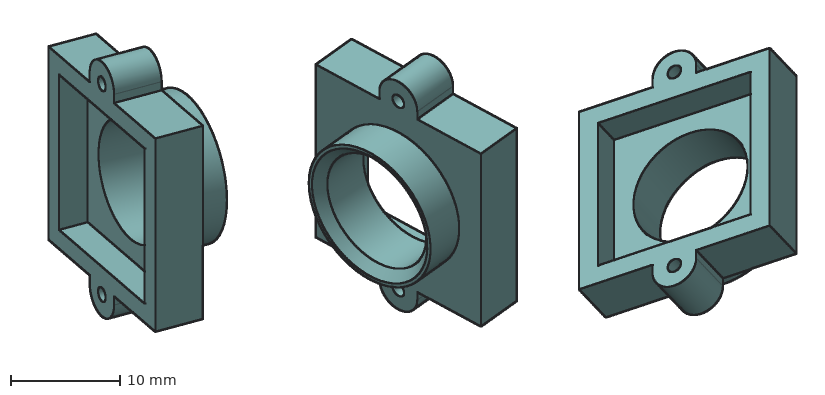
import cadquery as cq

frame_width = 20.06
frame_height = 20.2
frame_depth = 5.0
wall = 2.0
pocket_depth = 3.0

collar_diameter = 14.8
collar_length = 4.0
bore_diameter = 12.0
bore_chamfer = 1.0

overall_height = 26.6
lug_width = 4.6
lug_hole_diameter = 1.4
lug_hole_z = (overall_height - lug_width) / 2

total_depth = frame_depth + collar_length


def along_y(front_y):
    """Workplane at front_y whose extrusions run towards +Y (local y points to -Z)."""
    return cq.Workplane("XZ", origin=(0, front_y, 0)).transformed(rotate=(180, 0, 0))


def make_frame():
    return along_y(0).rect(frame_width, frame_height).extrude(frame_depth)


def make_lugs():
    """Both lugs as one round-ended bar that passes through the frame."""
    return along_y(0).slot2D(overall_height, lug_width, 90).extrude(frame_depth)


def make_collar():
    return along_y(frame_depth).circle(collar_diameter / 2).extrude(collar_length)


def make_pocket():
    return along_y(0).rect(frame_width - 2 * wall, frame_height - 2 * wall).extrude(pocket_depth)


def make_bore():
    """Through bore that flares out to its chamfered mouth at the far end."""
    bore = along_y(0).circle(bore_diameter / 2).extrude(total_depth)
    mouth_radius = bore_diameter / 2 + bore_chamfer
    flare = cq.Solid.makeCone(
        bore_diameter / 2,
        mouth_radius,
        bore_chamfer,
        pnt=cq.Vector(0, total_depth - bore_chamfer, 0),
        dir=cq.Vector(0, 1, 0),
    )
    return bore.union(cq.Workplane(flare))


def make_lug_holes():
    centres = [(0, lug_hole_z), (0, -lug_hole_z)]
    return along_y(0).pushPoints(centres).circle(lug_hole_diameter / 2).extrude(frame_depth)


body = make_frame().union(make_lugs()).union(make_collar())
result = body.cut(make_pocket()).cut(make_bore()).cut(make_lug_holes())